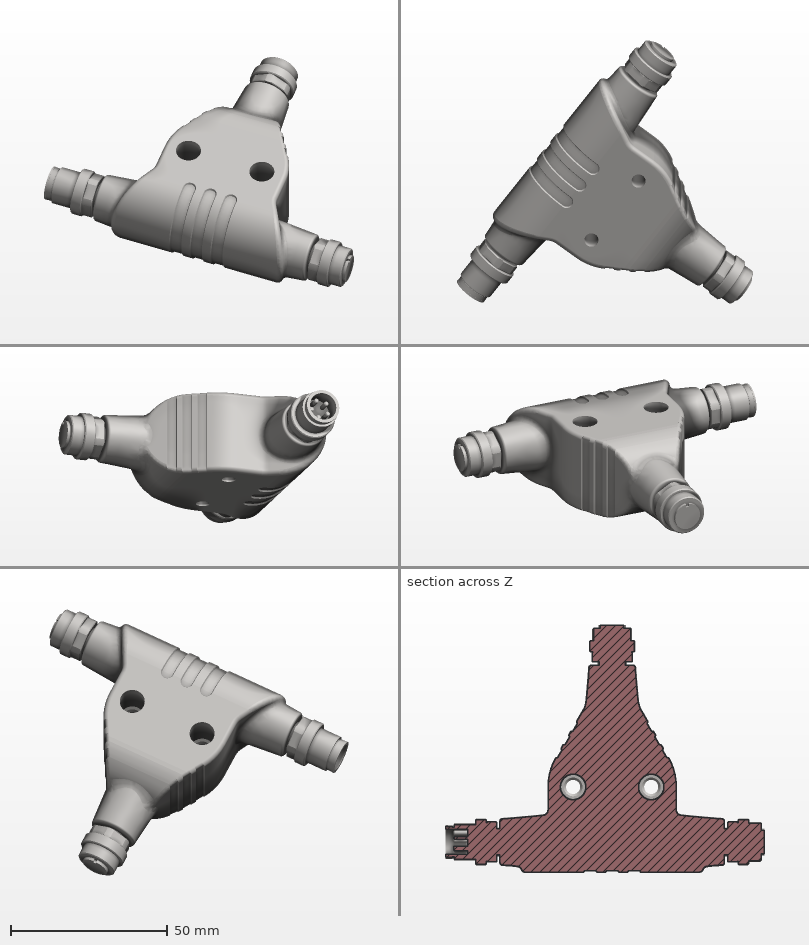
import cadquery as cq
import math


BODY_RADIUS = 13.475
FRONT_ROUND_Y = 3.5
BACK_ROUND_Y = 31.7
BODY_FRONT_Y = FRONT_ROUND_Y - BODY_RADIUS
BODY_BACK_Y = BACK_ROUND_Y + BODY_RADIUS
WAIST_HALF_WIDTH = 20.6
SHOULDER_Y = 22.7
FLARE_Y = 8.3
BACK_SLOPE_ANGLE = 30.0
FLARE_ANGLE = 28.0
SHOULDER_RADIUS = 19.0
FLARE_RADIUS = 5.0
BODY_EDGE_FILLET = 1.5

GROOVE_DEPTH = 0.5
GROOVE_COUNT = 3
GROOVE_DRAFT = 30.0
FRONT_GROOVE_FLOOR_WIDTH = 3.6
FRONT_GROOVE_PITCH = 7.0
SIDE_GROOVE_FLOOR_WIDTH = 2.8
SIDE_GROOVE_PITCH = 4.95
SIDE_GROOVE_MIDDLE_Y = 32.7

SCREW_HOLE_X = 12.5
SCREW_HOLE_Y = 17.6
SCREW_HOLE_DIAMETER = 4.5
SCREW_HEAD_DIAMETER = 8.0
SCREW_HEAD_DEPTH = BODY_RADIUS
SCREW_LEAD_IN_DIAMETER = 6.0

NECK_END_RADIUS = 7.65
NECK_TAPER = 5.0
NECK_END_FILLET = 0.75
RUN_NECK_BLEND = 1.5
BRANCH_NECK_BLEND = 3.8
RUN_NECK_END = 36.0
BRANCH_NECK_END = 56.65
RUN_NECK_ROOT = 15.0
BRANCH_NECK_ROOT = 30.0
SEAM_TOLERANCE = 0.001

COLLAR_DIAMETER = 9.4
COLLAR_LENGTH = 0.95
NUT_FLATS = 13.0
NUT_DIAMETER = 13.9
NUT_LENGTH = 3.25
NUT_CHAMFER = 0.25
RING_DIAMETER = 15.0
RING_LENGTH = 3.6
RING_CHAMFER = 0.3
FEMALE_CAP_DIAMETER = 12.8
FEMALE_CAP_LENGTH = 4.0
FEMALE_CAP_CHAMFER = 0.3
FEMALE_INSERT_DIAMETER = 8.75
FEMALE_INSERT_LENGTH = 0.95
KEYWAY_WIDTH = 1.0
KEYWAY_DEPTH = 1.0
MALE_SLEEVE_DIAMETER = 12.0
MALE_SLEEVE_LENGTH = 6.85
MALE_GROOVE_DIAMETER = 10.5
MALE_GROOVE_LENGTH = 0.5
MALE_TIP_DIAMETER = 10.8
MALE_TIP_LENGTH = 1.6
MALE_RIM_DIAMETER = 10.95
MALE_RIM_LENGTH = 0.6
MALE_BORE_DIAMETER = 8.9
MALE_BORE_DEPTH = 7.0
PIN_DIAMETER = 1.5
PIN_LENGTH = 4.5
PIN_TIP_CHAMFER = 0.3
PIN_COUNT = 5
PIN_CIRCLE_RADIUS = 2.9
FIRST_PIN_ANGLE = 26.0

BACK_SLOPE = math.tan(math.radians(BACK_SLOPE_ANGLE))
FLARE_SLOPE = math.tan(math.radians(FLARE_ANGLE))


def body(side_inset):
    """The rounded slab trimmed by the waisted outline, whose sides are moved inward by side_inset."""
    slab = (
        cq.Workplane("YZ")
        .center((FRONT_ROUND_Y + BACK_ROUND_Y) / 2, 0)
        .slot2D(BODY_BACK_Y - BODY_FRONT_Y, 2 * BODY_RADIUS)
        .extrude(2 * WAIST_HALF_WIDTH, both=True)
    )
    half_width = WAIST_HALF_WIDTH - side_inset
    shoulder_y = SHOULDER_Y - side_inset * math.tan(math.radians(BACK_SLOPE_ANGLE / 2))
    flare_y = FLARE_Y + side_inset * math.tan(math.radians(FLARE_ANGLE / 2))
    back_half_width = half_width - BACK_SLOPE * (BODY_BACK_Y - shoulder_y)
    front_half_width = half_width + FLARE_SLOPE * (flare_y - BODY_FRONT_Y)
    right_side = [
        (front_half_width, BODY_FRONT_Y),
        (half_width, flare_y),
        (half_width, shoulder_y),
        (back_half_width, BODY_BACK_Y),
    ]
    left_side = [(-x, y) for x, y in reversed(right_side)]
    outline = cq.Workplane("XY").polyline(right_side + left_side).close().extrude(2 * BODY_RADIUS, both=True)
    shoulders = [(side * half_width, shoulder_y, 0) for side in (-1, 1)]
    flares = [(side * half_width, flare_y, 0) for side in (-1, 1)]
    for corners, radius in ((shoulders, SHOULDER_RADIUS - side_inset), (flares, FLARE_RADIUS + side_inset)):
        for corner in corners:
            outline = outline.edges(cq.selectors.NearestToPointSelector(corner)).fillet(radius)
    return slab.intersect(outline).edges("not(|X or |Z)").fillet(BODY_EDGE_FILLET - side_inset)


def groove_positions(pitch):
    return [(index - (GROOVE_COUNT - 1) / 2) * pitch for index in range(GROOVE_COUNT)]


def half_groove_width(floor_width, height):
    """Half the width of a groove at a height above its floor."""
    return floor_width / 2 + height * math.tan(math.radians(GROOVE_DRAFT))


def front_groove():
    """Cutter for a groove wrapped around the rounded front, ending in half rounds on both flat faces."""
    floor_half = FRONT_GROOVE_FLOOR_WIDTH / 2
    top_half = half_groove_width(FRONT_GROOVE_FLOOR_WIDTH, 2 * GROOVE_DEPTH)
    floor_radius = BODY_RADIUS - GROOVE_DEPTH
    top_radius = BODY_RADIUS + GROOVE_DEPTH
    wrap = (
        cq.Workplane("XZ", origin=(0, FRONT_ROUND_Y, 0))
        .polyline(
            [
                (-floor_half, floor_radius),
                (floor_half, floor_radius),
                (top_half, top_radius),
                (-top_half, top_radius),
            ]
        )
        .close()
        .revolve(180, (0, 0, 0), (1, 0, 0))
    )
    upper_end = cq.Workplane(
        cq.Solid.makeCone(
            floor_half,
            top_half,
            2 * GROOVE_DEPTH,
            pnt=cq.Vector(0, FRONT_ROUND_Y, floor_radius),
            dir=cq.Vector(0, 0, 1),
        )
    )
    return wrap.union(upper_end).union(upper_end.mirror("XY"))


def side_groove_block():
    """Upright cutter with leaning walls, its floor GROOVE_DEPTH inside the plane X = 0."""
    reach = 2 * BODY_EDGE_FILLET
    inner_half = SIDE_GROOVE_FLOOR_WIDTH / 2
    outer_half = half_groove_width(SIDE_GROOVE_FLOOR_WIDTH, reach + GROOVE_DEPTH)
    return (
        cq.Workplane("XY")
        .polyline(
            [
                (-reach, -inner_half),
                (-GROOVE_DEPTH, -inner_half),
                (reach, -outer_half),
                (reach, outer_half),
                (-GROOVE_DEPTH, inner_half),
                (-reach, inner_half),
            ]
        )
        .close()
        .extrude(2 * BODY_RADIUS, both=True)
    )


def side_grooves():
    """Cutters for the grooves across both back slopes, with floors following the rounded side rims."""
    middle_x = WAIST_HALF_WIDTH - BACK_SLOPE * (SIDE_GROOVE_MIDDLE_Y - SHOULDER_Y)
    cutters = cq.Workplane("XY")
    for along in groove_positions(SIDE_GROOVE_PITCH):
        block = (
            side_groove_block()
            .translate((0, along, 0))
            .rotate((0, 0, 0), (0, 0, 1), BACK_SLOPE_ANGLE)
            .translate((middle_x, SIDE_GROOVE_MIDDLE_Y, 0))
        )
        cutters = cutters.add(block).add(block.mirror("YZ"))
    return cutters.combine().cut(body(GROOVE_DEPTH))


def screw_hole():
    """Through hole with a lead-in chamfer at the floor of a counterbore open to the top."""
    seat = BODY_RADIUS - SCREW_HEAD_DEPTH
    lead_in_depth = (SCREW_LEAD_IN_DIAMETER - SCREW_HOLE_DIAMETER) / 2
    through = cylinder(SCREW_HOLE_DIAMETER, -BODY_RADIUS, 2 * BODY_RADIUS)
    counterbore = cylinder(SCREW_HEAD_DIAMETER, seat, SCREW_HEAD_DEPTH)
    lead_in = cq.Workplane(
        cq.Solid.makeCone(
            SCREW_HOLE_DIAMETER / 2,
            SCREW_LEAD_IN_DIAMETER / 2,
            lead_in_depth,
            pnt=cq.Vector(0, 0, seat - lead_in_depth),
        )
    )
    return through.union(counterbore).union(lead_in)




def cylinder(diameter, start, length):
    return cq.Workplane("XY").workplane(offset=start).circle(diameter / 2).extrude(length)


def neck(length):
    """A cone widening from the neck end down to its root."""
    root_radius = NECK_END_RADIUS + length * math.tan(math.radians(NECK_TAPER))
    return (
        cq.Workplane("XZ")
        .polyline([(0, 0), (NECK_END_RADIUS, 0), (root_radius, -length), (0, -length)])
        .close()
        .revolve(360, (0, 0, 0), (0, 1, 0))
        .faces(">Z")
        .edges()
        .fillet(NECK_END_FILLET)
    )


def coupling():
    """Collar, hexagon nut with trimmed corners and round ring, shared by all connectors."""
    collar = cylinder(COLLAR_DIAMETER, -COLLAR_LENGTH, 2 * COLLAR_LENGTH)
    hexagon = (
        cq.Workplane("XY")
        .workplane(offset=COLLAR_LENGTH)
        .polygon(6, NUT_FLATS / math.cos(math.pi / 6))
        .extrude(NUT_LENGTH)
    )
    hexagon = hexagon.faces("<Z or >Z").edges().chamfer(NUT_CHAMFER)
    nut = hexagon.intersect(cylinder(NUT_DIAMETER, COLLAR_LENGTH, NUT_LENGTH))
    ring = cylinder(RING_DIAMETER, COLLAR_LENGTH + NUT_LENGTH, RING_LENGTH)
    return collar.union(nut).union(ring.edges().chamfer(RING_CHAMFER))


COUPLING_LENGTH = COLLAR_LENGTH + NUT_LENGTH + RING_LENGTH


def female_connector():
    """Coupling with a cap and a keyed contact insert standing out of it."""
    cap = cylinder(FEMALE_CAP_DIAMETER, COUPLING_LENGTH, FEMALE_CAP_LENGTH)
    cap = cap.faces(">Z").edges().chamfer(FEMALE_CAP_CHAMFER)
    insert_start = COUPLING_LENGTH + FEMALE_CAP_LENGTH
    insert = cylinder(FEMALE_INSERT_DIAMETER, insert_start, FEMALE_INSERT_LENGTH)
    keyway = (
        cq.Workplane("XY")
        .workplane(offset=insert_start)
        .center(FEMALE_INSERT_DIAMETER / 2, 0)
        .rect(2 * KEYWAY_DEPTH, KEYWAY_WIDTH)
        .extrude(FEMALE_INSERT_LENGTH)
    )
    return coupling().union(cap).union(insert.cut(keyway))


def male_connector():
    """Coupling with a sleeve, a narrower tip and contact pins inside the bore."""
    sleeve = cylinder(MALE_SLEEVE_DIAMETER, COUPLING_LENGTH, MALE_SLEEVE_LENGTH)
    groove_start = COUPLING_LENGTH + MALE_SLEEVE_LENGTH
    groove = cylinder(MALE_GROOVE_DIAMETER, groove_start, MALE_GROOVE_LENGTH)
    tip_start = groove_start + MALE_GROOVE_LENGTH
    tip = cylinder(MALE_TIP_DIAMETER, tip_start, MALE_TIP_LENGTH)
    rim_start = tip_start + MALE_TIP_LENGTH
    rim = cylinder(MALE_RIM_DIAMETER, rim_start, MALE_RIM_LENGTH)
    floor = rim_start + MALE_RIM_LENGTH - MALE_BORE_DEPTH
    bore = cylinder(MALE_BORE_DIAMETER, floor, MALE_BORE_DEPTH)
    pins = (
        cq.Workplane("XY")
        .workplane(offset=floor)
        .polarArray(PIN_CIRCLE_RADIUS, FIRST_PIN_ANGLE, 360, PIN_COUNT)
        .circle(PIN_DIAMETER / 2)
        .extrude(PIN_LENGTH)
        .faces(">Z")
        .edges()
        .chamfer(PIN_TIP_CHAMFER)
    )
    return coupling().union(sleeve).union(groove).union(tip).union(rim).cut(bore).union(pins)


LEFT = 0
RIGHT = 180
BACK = -90


def point_outward(piece, distance, turn):
    """Lay a piece along -X with its local X upward, then turn it about Z."""
    laid = piece.rotate((0, 0, 0), (0, 1, 0), -90).translate((-distance, 0, 0))
    return laid.rotate((0, 0, 0), (0, 0, 1), turn)


def lies_on(edge, piece):
    """Whether the middle of an edge is on the skin of a piece."""
    middle = cq.Vertex.makeVertex(*edge.positionAt(0.5).toTuple())
    return piece.shells().val().distance(middle) < SEAM_TOLERANCE


def add_neck(part, neck_piece, blend_radius):
    """Join a neck to the part and round the seam, whose edges lie on both the neck and the part."""
    joined = part.union(neck_piece)
    seam = [edge for edge in joined.edges().vals() if lies_on(edge, neck_piece) and lies_on(edge, part)]
    return joined.newObject(seam).fillet(blend_radius)


run_neck = neck(RUN_NECK_END - RUN_NECK_ROOT)
branch_neck = neck(BRANCH_NECK_END - BRANCH_NECK_ROOT)

result = add_neck(body(0), point_outward(run_neck, RUN_NECK_END, LEFT), RUN_NECK_BLEND)
result = add_neck(result, point_outward(run_neck, RUN_NECK_END, RIGHT), RUN_NECK_BLEND)
result = add_neck(result, point_outward(branch_neck, BRANCH_NECK_END, BACK), BRANCH_NECK_BLEND)

for groove_x in groove_positions(FRONT_GROOVE_PITCH):
    result = result.cut(front_groove().translate((groove_x, 0, 0)))
result = result.cut(side_grooves())

result = result.union(point_outward(male_connector(), RUN_NECK_END, LEFT))
result = result.union(point_outward(female_connector(), RUN_NECK_END, RIGHT))
result = result.union(point_outward(female_connector(), BRANCH_NECK_END, BACK))

result = result.cut(screw_hole().translate((-SCREW_HOLE_X, SCREW_HOLE_Y, 0)))
result = result.cut(screw_hole().translate((SCREW_HOLE_X, SCREW_HOLE_Y, 0)))